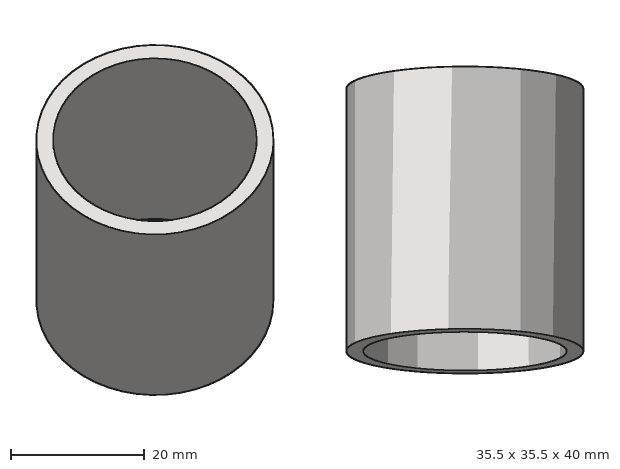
import cadquery as cq

length = 40.0
outer_diameter = 35.5
wall_thickness = 2.5
bore_diameter = outer_diameter - 2 * wall_thickness

result = (
    cq.Workplane("XY")
    .circle(outer_diameter / 2)
    .circle(bore_diameter / 2)
    .extrude(length)
)